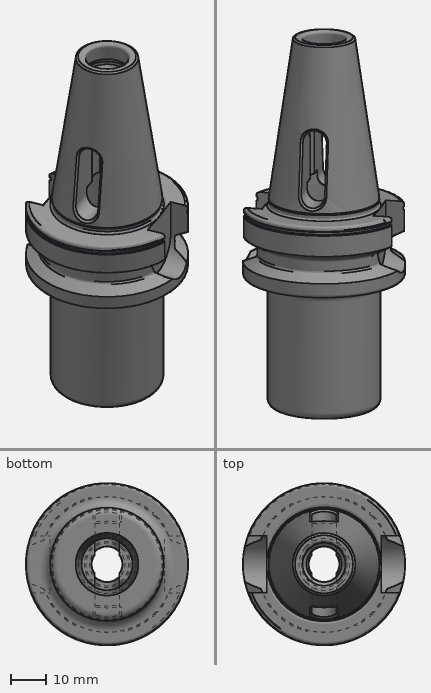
import cadquery as cq
import math


shank_radius = 16.0
shank_end_fillet = 2.2
shank_root_fillet = 3.0

flange_radius = 23.0
flange_bottom = 38.0
flange_top = 59.1
flange_edge_fillet = 1.0

v_groove_floor_radius = 19.2
v_groove_bottom = 42.4
v_groove_top = 50.4
v_groove_side_angle = 60
v_groove_root_fillet = 0.8

ring_groove_top = 57.8
ring_groove_width = 1.3
ring_groove_depth = 0.3
ring_groove_side_height = 0.3

neck_radius = 15.5
neck_fillet = 0.7
neck_relief_depth = 0.2
neck_relief_radius = 16.9

total_height = 108.4
taper_bottom = 60.9
taper_bottom_radius = 15.7
taper_slope = 3.5 / 24
taper_end_chamfer_height = 0.4
taper_end_chamfer_width = 0.7
taper_bottom_chamfer_height = 0.5

mouth_fillet = 0.9
counterbore_radius = 6.1
undercut_depth = 4.8
undercut_radius = 6.5
undercut_flare_height = 1.1
undercut_wall_height = 1.0
thread_radius = 5.0
thread_bottom = 80.2
pilot_radius = 4.3
socket_top = 67.2
socket_mouth_radius = 8.9
socket_slope = 0.025

slot_width = 6.8
slot_bottom = 62.2
slot_top = 84.1
slot_edge_chamfer = 0.7

keyway_width = 16.2
keyway_flat = 16.2
keyway_bottom = 40.8


def revolved(profile):
    """Close the half profile along the axis and spin it into a solid."""
    return profile.close().revolve(360, (0, 0, 0), (0, 1, 0))


def body():
    side_angle = math.radians(v_groove_side_angle)
    v_groove_side_height = (flange_radius - v_groove_floor_radius) / math.tan(side_angle)
    v_floor_bottom = v_groove_bottom + v_groove_side_height
    v_floor_top = v_groove_top - v_groove_side_height
    root_setback = v_groove_root_fillet * math.tan(side_angle / 2)
    root_side_radius = v_groove_floor_radius + root_setback * math.sin(side_angle)
    root_side_rise = root_setback * math.cos(side_angle)

    ring_floor_radius = flange_radius - ring_groove_depth
    ring_groove_bottom = ring_groove_top - ring_groove_width
    relief_floor = flange_top - neck_relief_depth
    taper_top = total_height - taper_end_chamfer_height
    taper_top_radius = taper_bottom_radius - (taper_top - taper_bottom) * taper_slope

    profile = (
        cq.Workplane("XZ")
        .lineTo(shank_radius - shank_end_fillet, 0)
        .tangentArcPoint((shank_radius, shank_end_fillet), relative=False)
        .lineTo(shank_radius, flange_bottom - shank_root_fillet)
        .tangentArcPoint((shank_radius + shank_root_fillet, flange_bottom), relative=False)
        .lineTo(flange_radius - flange_edge_fillet, flange_bottom)
        .tangentArcPoint((flange_radius, flange_bottom + flange_edge_fillet), relative=False)
        .lineTo(flange_radius, v_groove_bottom)
        .lineTo(root_side_radius, v_floor_bottom - root_side_rise)
        .tangentArcPoint((v_groove_floor_radius, v_floor_bottom + root_setback), relative=False)
        .lineTo(v_groove_floor_radius, v_floor_top - root_setback)
        .tangentArcPoint((root_side_radius, v_floor_top + root_side_rise), relative=False)
        .lineTo(flange_radius, v_groove_top)
        .lineTo(flange_radius, ring_groove_bottom)
        .lineTo(ring_floor_radius, ring_groove_bottom + ring_groove_side_height)
        .lineTo(ring_floor_radius, ring_groove_top - ring_groove_side_height)
        .lineTo(flange_radius, ring_groove_top)
        .lineTo(flange_radius, flange_top - flange_edge_fillet)
        .tangentArcPoint((flange_radius - flange_edge_fillet, flange_top), relative=False)
        .lineTo(neck_relief_radius, flange_top)
        .lineTo(neck_radius + neck_fillet, relief_floor)
        .radiusArc((neck_radius, relief_floor + neck_fillet), neck_fillet)
        .lineTo(neck_radius, taper_bottom - taper_bottom_chamfer_height)
        .lineTo(taper_bottom_radius, taper_bottom)
        .lineTo(taper_top_radius, taper_top)
        .lineTo(taper_top_radius - taper_end_chamfer_width, total_height)
        .lineTo(0, total_height)
    )
    return revolved(profile)


def bore():
    undercut_top = total_height - undercut_depth
    undercut_wall_top = undercut_top - undercut_flare_height
    countersink_top = undercut_wall_top - undercut_wall_height
    countersink_depth = undercut_radius - thread_radius
    profile = (
        cq.Workplane("XZ")
        .lineTo(socket_mouth_radius, 0)
        .lineTo(socket_mouth_radius - socket_top * socket_slope, socket_top)
        .lineTo(pilot_radius, socket_top)
        .lineTo(pilot_radius, thread_bottom)
        .lineTo(thread_radius, thread_bottom)
        .lineTo(thread_radius, countersink_top - countersink_depth)
        .lineTo(undercut_radius, countersink_top)
        .lineTo(undercut_radius, undercut_wall_top)
        .lineTo(counterbore_radius, undercut_top)
        .lineTo(counterbore_radius, total_height - mouth_fillet)
        .tangentArcPoint((counterbore_radius + mouth_fillet, total_height), relative=False)
        .lineTo(0, total_height)
    )
    return revolved(profile)


def cross_slot():
    return (
        cq.Workplane("XZ", origin=(0, 0, (slot_bottom + slot_top) / 2))
        .slot2D(slot_top - slot_bottom, slot_width, 90)
        .extrude(flange_radius, both=True)
    )


def keyway(side):
    """Round-bottomed keyway, open upward, on the side given by -1 (-X) or 1 (+X)."""
    half_width = keyway_width / 2
    arc_center = keyway_bottom + half_width
    return (
        cq.Workplane("YZ", origin=(side * keyway_flat, 0, 0))
        .moveTo(-half_width, arc_center)
        .threePointArc((0, keyway_bottom), (half_width, arc_center))
        .lineTo(half_width, flange_top)
        .lineTo(-half_width, flange_top)
        .close()
        .extrude(side * flange_radius)
    )


def slot_rims(side):
    """Selector for the edges where the cross slot meets the taper on one side of the XZ plane."""
    inside_taper = (-slot_width, side * socket_mouth_radius, taper_bottom)
    outside_taper = (slot_width, side * flange_radius, slot_top + slot_width)
    return cq.selectors.BoxSelector(inside_taper, outside_taper)


result = body().cut(cross_slot())
result = result.edges(slot_rims(-1) + slot_rims(1)).chamfer(slot_edge_chamfer)
result = result.cut(bore())
for side in (-1, 1):
    result = result.cut(keyway(side))